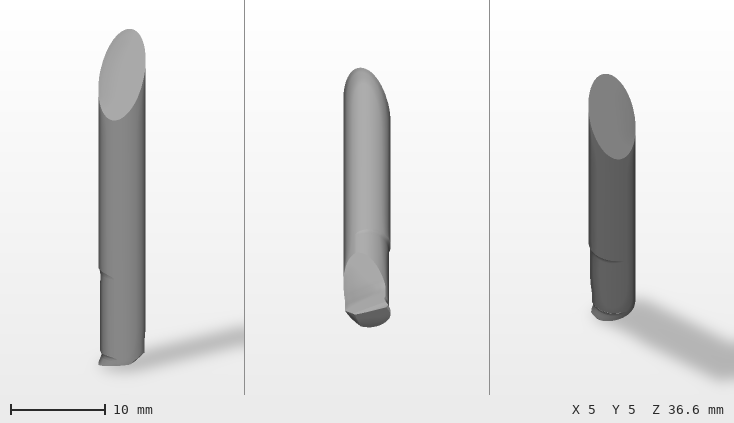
import cadquery as cq
import math

LENGTH = 36.58
DIAMETER = 5.0
RADIUS = DIAMETER / 2
OVERSIZE = 2 * DIAMETER

END_ANGLE = 30.0

RELIEF_SHIFT = 0.22
RELIEF_TOP = 10.25
COVE_HEIGHT = 0.7

GROOVE_SHIFT = 0.31
GROOVE_RADIUS = 2.47
GROOVE_TOP = 1.65
GROOVE_COVE_HEIGHT = 0.33
TIP_TOP = 1.15
TIP_WIDTH_END = 0.48

FLAT_Y = 0.165
RUNOUT_START = 7.28
RUNOUT_FILLET = 2.2
RAKE_TOP = 0.73
RAKE_BOTTOM = 0.35

POINT_X = -2.25
POINT_BEVEL = RADIUS + POINT_X
END_SLOPE = 8.7
CLEARANCE_ANGLE = 6.0
CORNER_CHAMFER = 1.1
CORNER_TOP = 1.65


def bar_blank():
    blank = cq.Workplane("XY").circle(RADIUS).extrude(LENGTH)
    slant_rise = DIAMETER / math.tan(math.radians(END_ANGLE))
    waste = (
        cq.Workplane("YZ")
        .polyline([(RADIUS, LENGTH), (-RADIUS, LENGTH - slant_rise), (-RADIUS, LENGTH)])
        .close()
        .extrude(RADIUS, both=True)
    )
    return blank.cut(waste)


def ring_cutter(shift, inner_radius, bottom, cove_start, cove_height, cove_depth):
    """Ring around an axis shifted in X, with a concave arc closing its upper end."""
    cove_radius = (cove_height**2 + cove_depth**2) / (2 * cove_depth)
    half_angle = math.asin(cove_height / cove_radius) / 2
    arc_middle = (
        inner_radius + cove_radius * (1 - math.cos(half_angle)),
        cove_start + cove_radius * math.sin(half_angle),
    )
    return (
        cq.Workplane("XZ")
        .moveTo(inner_radius, bottom)
        .lineTo(inner_radius, cove_start)
        .threePointArc(arc_middle, (inner_radius + cove_depth, cove_start + cove_height))
        .lineTo(OVERSIZE, cove_start + cove_height)
        .lineTo(OVERSIZE, bottom)
        .close()
        .revolve(360, (0, 0, 0), (0, 1, 0))
        .translate((shift, 0, 0))
    )


def relief_cutter():
    return ring_cutter(RELIEF_SHIFT, RADIUS, GROOVE_TOP, RELIEF_TOP, COVE_HEIGHT, RELIEF_SHIFT)


def groove_cutter():
    depth = RADIUS - GROOVE_RADIUS + GROOVE_SHIFT - RELIEF_SHIFT
    cove_start = GROOVE_TOP - GROOVE_COVE_HEIGHT
    return ring_cutter(
        GROOVE_SHIFT, GROOVE_RADIUS, TIP_TOP, cove_start, GROOVE_COVE_HEIGHT, depth
    )


def flat_cutter():
    runout_drop = (RADIUS - FLAT_Y) / math.tan(math.radians(END_ANGLE))
    corner_z = RUNOUT_START - runout_drop
    tangent_length = RUNOUT_FILLET * math.tan(math.radians(END_ANGLE / 2))
    slant_y = tangent_length * math.sin(math.radians(END_ANGLE))
    slant_z = tangent_length * math.cos(math.radians(END_ANGLE))
    arc_start = (FLAT_Y, corner_z - tangent_length)
    arc_end = (FLAT_Y + slant_y, corner_z + slant_z)
    return (
        cq.Workplane("YZ")
        .moveTo(0, 0)
        .lineTo(0, RAKE_BOTTOM)
        .lineTo(FLAT_Y, RAKE_TOP)
        .lineTo(*arc_start)
        .radiusArc(arc_end, RUNOUT_FILLET)
        .lineTo(RADIUS, RUNOUT_START)
        .lineTo(RADIUS, 0)
        .close()
        .extrude(RADIUS, both=True)
    )


def end_cutter():
    """Waste below the slanted end face and the bevel at the cutting point."""
    far_rise = (OVERSIZE - POINT_X) * math.tan(math.radians(END_SLOPE))
    return (
        cq.Workplane("XZ")
        .polyline([
            (POINT_X, 0),
            (OVERSIZE, far_rise),
            (OVERSIZE, -OVERSIZE),
            (-RADIUS - POINT_BEVEL, -OVERSIZE),
            (-RADIUS - POINT_BEVEL, 2 * POINT_BEVEL),
        ])
        .close()
        .extrude(OVERSIZE, both=True)
        .rotate((0, 0, 0), (1, 0, 0), -CLEARANCE_ANGLE)
    )


def corner_cutter():
    """45 degree chamfer on the +X side of the lower end."""
    return (
        cq.Workplane("XZ")
        .polyline([
            (RADIUS, CORNER_TOP),
            (RADIUS - CORNER_CHAMFER, CORNER_TOP - CORNER_CHAMFER),
            (RADIUS - CORNER_TOP, 0),
            (RADIUS, 0),
        ])
        .close()
        .extrude(RADIUS, both=True)
    )


def tip_zone():
    return cq.Workplane("XY").box(OVERSIZE, OVERSIZE, TIP_TOP, centered=(False, True, False)).translate(
        (TIP_WIDTH_END - OVERSIZE, 0, 0)
    )


def tip_envelope():
    """Slanted round column that flares toward -X as it goes down."""
    lower_shift = GROOVE_RADIUS - RADIUS
    return (
        cq.Workplane("XY")
        .center(lower_shift, 0)
        .circle(GROOVE_RADIUS)
        .workplane(offset=POINT_BEVEL)
        .circle(GROOVE_RADIUS)
        .workplane(offset=TIP_TOP - POINT_BEVEL)
        .center(GROOVE_SHIFT - lower_shift, 0)
        .circle(GROOVE_RADIUS)
        .loft(ruled=True)
    )


shaped_bar = (
    bar_blank()
    .cut(relief_cutter())
    .cut(groove_cutter())
    .cut(flat_cutter())
    .cut(end_cutter())
    .cut(corner_cutter())
)

shank = shaped_bar.cut(tip_zone())
cutting_tip = shaped_bar.intersect(tip_zone()).intersect(tip_envelope())

result = cq.Compound.makeCompound([shank.val(), cutting_tip.val()])